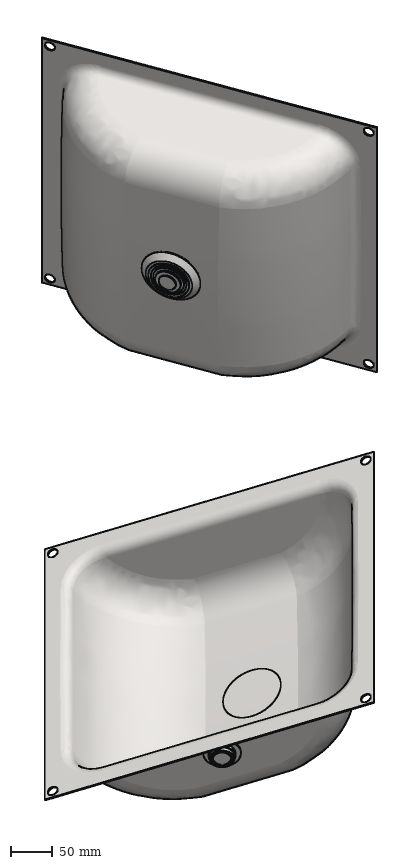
import cadquery as cq
import math

FLANGE_WIDTH = 434.0
FLANGE_HEIGHT = 416.0
SHEET = 1.7
MOUNT_HOLE_DIAMETER = 13.0
MOUNT_HOLE_INSET = 10.5

BASIN_DEPTH = 132.0
SIDE_RADIUS = 154.5
SIDE_CENTER_X = 35.0
SIDE_CENTER_Y = 20.5
MOUTH_HALF_HEIGHT = 178.0
END_DRAFT_DEGREES = 1.5
FLOOR_CROWN_RADIUS = 2430.5
END_FILLET = 43.5
LIP_RADIUS = 10.5
OVERRUN = 13.0

TOTAL_DEPTH = 145.0
DRAIN_DIAMETER = 76.5
DRAIN_FACE_DIAMETER = 60.5
DRAIN_CONE_HEIGHT = 7.0
DRAIN_RING_DIAMETER = 53.0
DRAIN_RING_HEIGHT = 8.5
DRAIN_GROOVE_OUTER_DIAMETER = 46.0
DRAIN_GROOVE_INNER_DIAMETER = 40.0
DRAIN_GROOVE_DEPTH = 1.5
DRAIN_COLLAR_DIAMETER = 33.0
DRAIN_CAP_DIAMETER = 22.0
DRAIN_CAP_HEIGHT = 1.7

OVERFLOW_DEPTH = 39.0
OVERFLOW_REACH = 188.0
OVERFLOW_BASE_DIAMETER = 46.0
OVERFLOW_BASE_REACH = 179.0
OVERFLOW_COLLAR_DIAMETER = 33.0
OVERFLOW_COLLAR_REACH = 183.0
OVERFLOW_NECK_DIAMETER = 30.0
OVERFLOW_FACE_DIAMETERS = [26.0, 22.0]
OVERFLOW_GROOVE_DEPTH = 1.5


def crowned_trough(inset):
    """Round-sided cross-section swept along the slight crown of the floor."""
    radius = SIDE_RADIUS - inset
    floor_y = inset - BASIN_DEPTH
    floor_angle = math.asin((SIDE_CENTER_Y - floor_y) / radius)
    top_angle = math.asin((SIDE_CENTER_Y - OVERRUN) / radius)
    floor_x = SIDE_CENTER_X + radius * math.cos(floor_angle)
    top_x = SIDE_CENTER_X + radius * math.cos(top_angle)
    middle_angle = (floor_angle + top_angle) / 2
    middle_x = SIDE_CENTER_X + radius * math.cos(middle_angle)
    middle_y = SIDE_CENTER_Y - radius * math.sin(middle_angle)
    axis_y = FLOOR_CROWN_RADIUS - BASIN_DEPTH
    half_sweep = math.degrees(math.asin(1.2 * MOUTH_HALF_HEIGHT / FLOOR_CROWN_RADIUS))
    trough = (
        cq.Workplane("XY")
        .moveTo(-top_x, OVERRUN)
        .threePointArc((-middle_x, middle_y), (-floor_x, floor_y))
        .lineTo(floor_x, floor_y)
        .threePointArc((middle_x, middle_y), (top_x, OVERRUN))
        .close()
        .revolve(2 * half_sweep, (-4.5, axis_y), (4.5, axis_y))
    )
    return trough.rotate((-4.5, axis_y, 0), (4.5, axis_y, 0), -half_sweep)


def end_wall_wedge(inset):
    """Block between the two drafted end walls, open beyond the mouth."""
    depth = BASIN_DEPTH + OVERRUN
    slope = math.tan(math.radians(END_DRAFT_DEGREES))
    mouth = MOUTH_HALF_HEIGHT - inset + OVERRUN * slope
    bottom = MOUTH_HALF_HEIGHT - inset - depth * slope
    return (
        cq.Workplane("YZ")
        .polyline([(OVERRUN, -mouth), (OVERRUN, mouth), (-depth, bottom), (-depth, -bottom)])
        .close()
        .extrude(FLANGE_WIDTH / 2, both=True)
    )


def basin_form(inset):
    """Basin shape below Y = 0, set in from the outer surface by inset."""
    form = crowned_trough(inset).intersect(end_wall_wedge(inset))
    end_edges = form.faces("<Z or >Z").edges("not >Y")
    form = form.newObject(end_edges.vals()).fillet(END_FILLET - inset)
    below_mouth = cq.Workplane("XY").box(
        FLANGE_WIDTH, BASIN_DEPTH + OVERRUN, FLANGE_HEIGHT, centered=(True, False, True)
    ).translate((0, -BASIN_DEPTH - OVERRUN, 0))
    return form.intersect(below_mouth)


def make_overflow():
    """Stepped boss with a grooved face, pointing to -Z from inside the end wall."""
    base = OVERFLOW_BASE_DIAMETER / 2
    collar = OVERFLOW_COLLAR_DIAMETER / 2
    neck = OVERFLOW_NECK_DIAMETER / 2
    root = MOUTH_HALF_HEIGHT - 2 * SHEET
    groove_outer, groove_inner = [diameter / 2 for diameter in OVERFLOW_FACE_DIAMETERS]
    groove_floor = OVERFLOW_REACH - OVERFLOW_GROOVE_DEPTH
    boss = (
        cq.Workplane("XZ")
        .polyline([
            (0, -root), (base, -root), (base, -OVERFLOW_BASE_REACH),
            (collar, -OVERFLOW_BASE_REACH), (collar, -OVERFLOW_COLLAR_REACH),
            (neck, -OVERFLOW_COLLAR_REACH), (neck, -OVERFLOW_REACH),
            (groove_outer, -OVERFLOW_REACH), (groove_outer, -groove_floor),
            (groove_inner, -groove_floor), (groove_inner, -OVERFLOW_REACH),
            (0, -OVERFLOW_REACH),
        ])
        .close()
        .revolve(360, (0, 0), (0, 1))
    )
    return boss.translate((0, -OVERFLOW_DEPTH, 0))


def make_sink():
    flange = cq.Workplane("XY").box(FLANGE_WIDTH, SHEET, FLANGE_HEIGHT).translate((0, -SHEET / 2, 0))
    sink = flange.union(basin_form(0))
    lip = cq.selectors.BoxSelector(
        (-FLANGE_WIDTH / 2 + 4.5, -1.5 * SHEET, -FLANGE_HEIGHT / 2 + 4.5),
        (FLANGE_WIDTH / 2 - 4.5, -SHEET / 2, FLANGE_HEIGHT / 2 - 4.5),
        boundingbox=True,
    )
    sink = sink.edges(lip).fillet(LIP_RADIUS)
    sink = sink.cut(basin_form(SHEET))
    mouth = cq.selectors.BoxSelector(
        (-FLANGE_WIDTH / 2 + 4.5, -SHEET / 2, -FLANGE_HEIGHT / 2 + 4.5),
        (FLANGE_WIDTH / 2 - 4.5, SHEET / 2, FLANGE_HEIGHT / 2 - 4.5),
        boundingbox=True,
    )
    sink = sink.edges(mouth).fillet(LIP_RADIUS + SHEET)
    mount_holes = (
        cq.Workplane("XZ")
        .rect(FLANGE_WIDTH - 2 * MOUNT_HOLE_INSET, FLANGE_HEIGHT - 2 * MOUNT_HOLE_INSET, forConstruction=True)
        .vertices()
        .circle(MOUNT_HOLE_DIAMETER / 2)
        .extrude(SHEET)
    )
    return sink.cut(mount_holes).union(make_overflow())


def make_drain():
    """Drain plug: conical rim, grooved face, then a collar and a central cap."""
    rim = DRAIN_DIAMETER / 2
    face = DRAIN_FACE_DIAMETER / 2
    ring = DRAIN_RING_DIAMETER / 2
    groove_outer = DRAIN_GROOVE_OUTER_DIAMETER / 2
    groove_inner = DRAIN_GROOVE_INNER_DIAMETER / 2
    collar = DRAIN_COLLAR_DIAMETER / 2
    cap = DRAIN_CAP_DIAMETER / 2
    root_y = SHEET - BASIN_DEPTH
    cone_y = -BASIN_DEPTH - DRAIN_CONE_HEIGHT
    ring_y = -BASIN_DEPTH - DRAIN_RING_HEIGHT
    groove_y = ring_y + DRAIN_GROOVE_DEPTH
    collar_y = DRAIN_CAP_HEIGHT - TOTAL_DEPTH
    return (
        cq.Workplane("XY")
        .polyline([
            (0, root_y), (rim, root_y), (rim, -BASIN_DEPTH), (face, cone_y),
            (ring, cone_y), (ring, ring_y),
            (groove_outer, ring_y), (groove_outer, groove_y),
            (groove_inner, groove_y), (groove_inner, ring_y),
            (collar, ring_y), (collar, collar_y),
            (cap, collar_y), (cap, -TOTAL_DEPTH), (0, -TOTAL_DEPTH),
        ])
        .close()
        .revolve(360, (0, 0), (0, 1))
    )


drain = make_drain()
sink = make_sink().cut(drain)

result = cq.Compound.makeCompound([sink.val(), drain.val()])